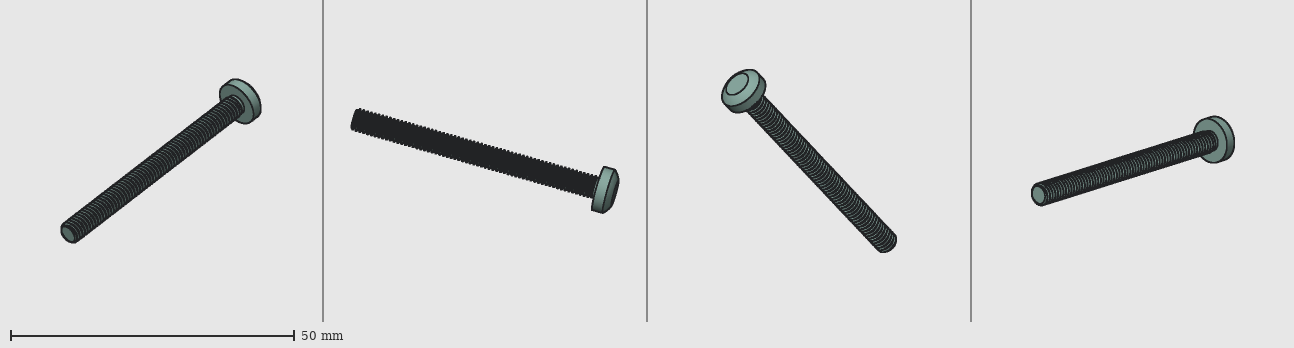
import cadquery as cq
import math

TOTAL_LENGTH = 48.1

HEAD_RADIUS = 4.0
HEAD_HEIGHT = 3.1
HEAD_RIM_HEIGHT = 1.95
HEAD_TOP_RADIUS = 2.35
DOME_BULGE = 0.1

SHANK_LENGTH = TOTAL_LENGTH - HEAD_HEIGHT
NECK_RADIUS = 1.85
NECK_LENGTH = 0.63

THREAD_DIAMETER = 4.0
TURNS_ALONG_SHANK = 64.3
THREAD_RADIUS = THREAD_DIAMETER / 2
PITCH = SHANK_LENGTH / TURNS_ALONG_SHANK
FLANK_SLOPE = math.tan(math.radians(30))
SHARP_HEIGHT = PITCH / 2 / FLANK_SLOPE
THREAD_DEPTH = SHARP_HEIGHT * 5 / 8
ROOT_RADIUS = THREAD_RADIUS - THREAD_DEPTH
CREST_HALF_WIDTH = PITCH / 16
RIDGE_HALF_WIDTH = CREST_HALF_WIDTH + THREAD_DEPTH * FLANK_SLOPE

RUNOUT_SLOPE = 2
TRIM_CLEARANCE = 0.5


def make_head():
    """Cylindrical rim under a slightly rounded cone with a flat top."""
    mid_radius = (HEAD_RADIUS + HEAD_TOP_RADIUS) / 2
    mid_height = (HEAD_RIM_HEIGHT + HEAD_HEIGHT) / 2
    dome_middle = (mid_radius + DOME_BULGE, mid_height + DOME_BULGE)
    return (
        cq.Workplane("XY")
        .lineTo(HEAD_RADIUS, 0)
        .lineTo(HEAD_RADIUS, HEAD_RIM_HEIGHT)
        .threePointArc(dome_middle, (HEAD_TOP_RADIUS, HEAD_HEIGHT))
        .lineTo(0, HEAD_HEIGHT)
        .close()
        .revolve(360, (0, 0), (0, 1))
    )


def make_neck():
    """Plain cylinder between the head and the thread."""
    return cq.Workplane("XZ").circle(NECK_RADIUS).extrude(NECK_LENGTH)


def make_thread_trim():
    """Revolved body that limits the thread: taper at the neck, chamfer down to the root at the tip."""
    outer_radius = THREAD_RADIUS + TRIM_CLEARANCE
    taper_end = -NECK_LENGTH - (outer_radius - NECK_RADIUS) * RUNOUT_SLOPE
    chamfer_start = -SHANK_LENGTH + outer_radius - ROOT_RADIUS
    return (
        cq.Workplane("XY")
        .moveTo(0, -NECK_LENGTH)
        .lineTo(NECK_RADIUS, -NECK_LENGTH)
        .lineTo(outer_radius, taper_end)
        .lineTo(outer_radius, chamfer_start)
        .lineTo(ROOT_RADIUS, -SHANK_LENGTH)
        .lineTo(0, -SHANK_LENGTH)
        .close()
        .revolve(360, (0, 0), (0, 1))
    )


def make_helix(radius, height):
    """One right-hand turn around Z, starting on the +X side at the given height."""
    wire = cq.Wire.makeHelix(PITCH, PITCH, radius)
    return wire.translate(cq.Vector(0, 0, height)).Edges()[0]


def make_threaded_bar():
    """Right-hand threaded bar from one pitch above the bearing face to beyond the tip.

    The skin is built turn by turn around Z. Each end is closed by a spiral ramp
    and the flat radial step between the two ends of that ramp.
    """
    profile = [
        (ROOT_RADIUS, -RIDGE_HALF_WIDTH),
        (THREAD_RADIUS, -CREST_HALF_WIDTH),
        (THREAD_RADIUS, CREST_HALF_WIDTH),
        (ROOT_RADIUS, RIDGE_HALF_WIDTH),
        (ROOT_RADIUS, PITCH - RIDGE_HALF_WIDTH),
    ]
    helices = [make_helix(radius, height) for radius, height in profile]
    turn_faces = [cq.Face.makeRuledSurface(a, b) for a, b in zip(helices, helices[1:])]

    axis_bottom = cq.Vector(0, 0, -RIDGE_HALF_WIDTH)
    axis_top = cq.Vector(0, 0, PITCH - RIDGE_HALF_WIDTH)
    ramp = cq.Face.makeRuledSurface(cq.Edge.makeLine(axis_bottom, axis_top), helices[0])
    step_corners = [axis_bottom] + [cq.Vector(radius, 0, height) for radius, height in profile] + [axis_top]
    step = cq.Face.makeFromWires(cq.Wire.makePolygon(step_corners, close=True))
    end_faces = [ramp, step]

    turn_count = math.ceil(TURNS_ALONG_SHANK) + 2
    faces = list(end_faces)
    for turn in range(turn_count):
        rise = cq.Vector(0, 0, turn * PITCH)
        faces += [face.translate(rise) for face in turn_faces]
    bar_rise = cq.Vector(0, 0, turn_count * PITCH)
    faces += [face.translate(bar_rise) for face in end_faces]

    bar = cq.Solid.makeSolid(cq.Shell.makeShell(faces))
    return cq.Workplane(bar).rotate((0, 0, 0), (1, 0, 0), 90).translate((0, PITCH, 0))


thread = make_threaded_bar().intersect(make_thread_trim())
result = make_head().union(make_neck()).union(thread)